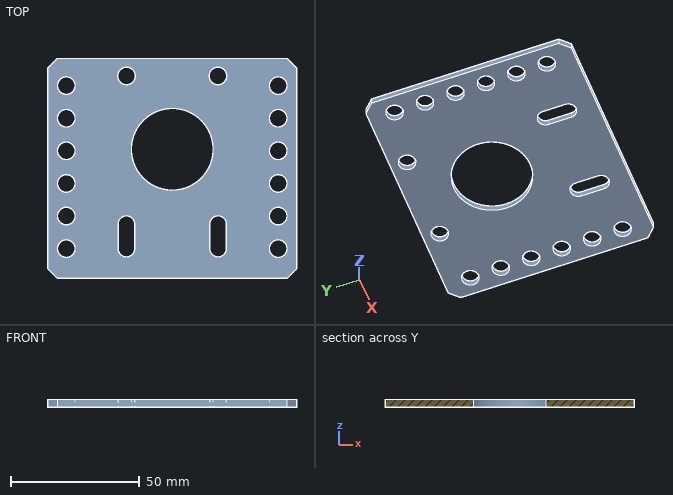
import cadquery as cq

plate_width = 97.18
plate_depth = 85.72
plate_thickness = 3.05
corner_cut = 3.81

hole_diameter = 6.75

column_offset_x = 41.275
column_center_y = 0.48
column_pitch = 12.7
column_hole_count = 6

back_hole_offset_x = 17.8
back_hole_y = 36.0

bore_diameter = 31.75
bore_y = 7.43

slot_offset_x = 17.86
slot_center_y = -26.5
slot_width = 6.35
slot_length = 15.9


def chamfered_plate():
    """Flat plate centred in X and Y, standing on Z = 0, with its four corners cut off at 45 degrees."""
    plate = cq.Workplane("XY").box(plate_width, plate_depth, plate_thickness, centered=(True, True, False))
    return plate.edges("|Z").chamfer(corner_cut)


def mirrored_pair(offset_x, y):
    """Two points placed symmetrically about the YZ plane."""
    return [(-offset_x, y), (offset_x, y)]


def mounting_hole_centers():
    """Centres of the back pair and of both edge columns."""
    front_row_y = column_center_y - column_pitch * (column_hole_count - 1) / 2
    centers = mirrored_pair(back_hole_offset_x, back_hole_y)
    for row in range(column_hole_count):
        centers += mirrored_pair(column_offset_x, front_row_y + row * column_pitch)
    return centers


def through_cylinders(centers, diameter):
    """Cutters for round holes through the plate."""
    return cq.Workplane("XY").pushPoints(centers).circle(diameter / 2).extrude(plate_thickness)


def through_slots():
    """Cutters for the round-ended slots."""
    centers = mirrored_pair(slot_offset_x, slot_center_y)
    sketch = cq.Workplane("XY").pushPoints(centers).slot2D(slot_length, slot_width, angle=90)
    return sketch.extrude(plate_thickness)


result = (
    chamfered_plate()
    .cut(through_cylinders(mounting_hole_centers(), hole_diameter))
    .cut(through_cylinders([(0, bore_y)], bore_diameter))
    .cut(through_slots())
)